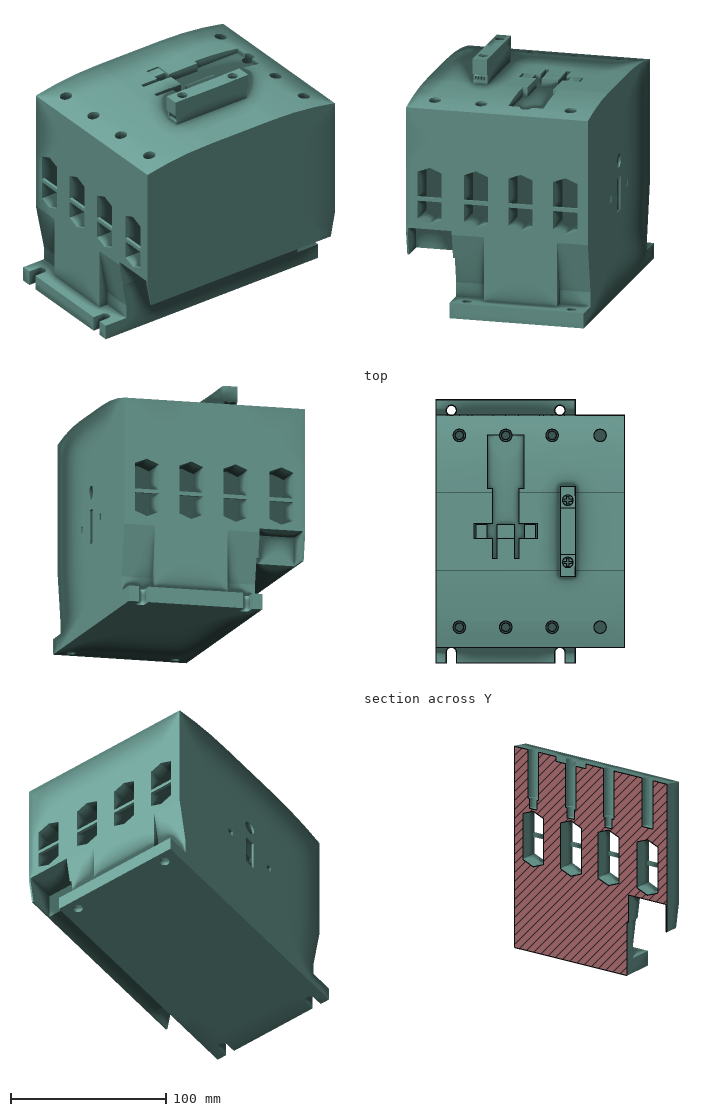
import cadquery as cq


BASE_WIDTH = 90.0
BASE_LENGTH = 170.0
BASE_HEIGHT = 10.2
MOUNT_SPACING_X = 70.0
MOUNT_Y = 78.0
MOUNT_DIAMETER = 6.5

BODY_WIDTH = 121.7
BODY_LENGTH = 150.0
BODY_HALF = BODY_LENGTH / 2
BODY_TOP = 141.6
SHOULDER_Z = 136.3
FLAT_HALF = 25.2

OVERHANG_BOTTOM = 36.7
OVERHANG_POCKET_TOP = 55.6
OVERHANG_WALL = 1.2
OVERHANG_POCKET_DEPTH = 20.4

TAPER_TOP = 53.0
TAPER_BOTTOM = 19.7
TAPER_INSET = 6.5
LEG_LEFT = 20.5
LEG_RIGHT = BASE_WIDTH - LEG_LEFT

POLE_FIRST_X = 15.1
POLE_PITCH = 30.0
MAIN_POLE_COUNT = 3
MAIN_POLE_XS = [POLE_FIRST_X + i * POLE_PITCH for i in range(MAIN_POLE_COUNT)]
FOURTH_POLE_X = 105.9
POLE_XS = MAIN_POLE_XS + [FOURTH_POLE_X]
ENTRY_WIDTH = 16.2
ENTRY_BOTTOM = 59.0
ENTRY_TOP = 96.9
ENTRY_POINT_HEIGHT = 3.2
ENTRY_DEPTH = 22.1
BAR_BOTTOM = 74.3
BAR_TOP = 76.8
BAR_THICKNESS = 1.9
SCREW_Y = 61.9
SCREW_BORE = 8.0
SCREW_BORE_BOTTOM = 105.4
SCREW_SHAFT = 5.5
SCREW_SHAFT_BOTTOM = 98.6

RECESS_FLOOR = 135.5
RECESS_CENTER_X = POLE_XS[1]
HEAD_WIDTH = 23.5
HEAD_END_Y = 62.2
HEAD_START_Y = 27.5
NECK_WIDTH = 17.2
CROSSBAR_WIDTH = 40.8
CROSSBAR_END_Y = 5.0
CROSSBAR_START_Y = -4.6
LEG_SLOT_START_Y = -17.5
TONGUE_WIDTH = 11.2
TONGUE_END_Y = 4.2
PAD_WIDTH = 7.1
PAD_OFFSET = 15.6
PAD_DROP = 0.3

BLOCK_RIGHT = BASE_WIDTH
BLOCK_WIDTH = 9.7
BLOCK_CENTER_X = BLOCK_RIGHT - BLOCK_WIDTH / 2
BLOCK_TOP = 158.8
BLOCK_STEP_Z = 148.4
BLOCK_LENGTH = 58.1
BLOCK_FOOT_LENGTH = 56.5
LABEL_LENGTH = 30.0
LABEL_DROP = 0.2
COIL_SCREW_Y = 20.0
COIL_SCREW_DIAMETER = 6.8
COIL_SCREW_DEPTH = 4.2
CROSS_LENGTH = 5.1
CROSS_WIDTH = 1.4
CROSS_DEPTH = 1.4
COIL_ENTRY_WIDTH = 8.0
COIL_ENTRY_SHIFT = 0.5
COIL_ENTRY_BOTTOM = 143.6
COIL_ENTRY_TOP = 148.2
COIL_ENTRY_DEPTH = 5.1
CLAMP_SETBACK = 1.7
CLAMP_FRONT_TOP = 146.7
CLAMP_SLOT_WIDTH = 1.2
CLAMP_SLOT_PITCH = 1.9
CLAMP_SLOT_COUNT = 4
CLAMP_SLOT_TOP = 146.4
CLAMP_SLOT_BOTTOM = 144.0

SIDE_DEPTH = 1.7
SLOT_STEP_DEPTH = 2.7
SIDE_CIRCLE_Z = 89.0
SIDE_CIRCLE_DIAMETER = 9.2
SIDE_SLOT_WIDTH = 8.0
SIDE_SLOT_BOTTOM = 55.2
SIDE_SLOT_TOP = 77.9
SLOT_STEP_WIDTH = 6.6
SLOT_STEP_BOTTOM = 60.0
SLOT_STEP_TOP = 64.8
LATCH_Y = 20.4
LATCH_Z = 68.8
LATCH_SIZE = 4.0


def box(x_start, x_end, y_start, y_end, z_start, z_end):
    """Axis-aligned box between the given limits."""
    return (
        cq.Workplane("XY", origin=(x_start, y_start, z_start))
        .box(x_end - x_start, y_end - y_start, z_end - z_start, centered=False)
    )


def centered_box(center_x, width, y_start, y_end, z_start, z_end):
    """Box that is symmetric about a given X."""
    return box(center_x - width / 2, center_x + width / 2, y_start, y_end, z_start, z_end)


def side_box(depth, center_y, width, z_start, z_end):
    """Box that reaches inward from the left side wall."""
    return box(0, depth, center_y - width / 2, center_y + width / 2, z_start, z_end)


def cylinder(x, y, diameter, z_start, z_end):
    """Upright cylinder."""
    return cq.Workplane("XY", origin=(x, y, z_start)).circle(diameter / 2).extrude(z_end - z_start)


def both_ends(shape):
    """The shape together with its mirror image across the middle plane."""
    return shape.union(shape.mirror("XZ"))


def base_plate():
    plate = box(0, BASE_WIDTH, -BASE_LENGTH / 2, BASE_LENGTH / 2, 0, BASE_HEIGHT)
    for side in (-1, 1):
        x = BASE_WIDTH / 2 + side * MOUNT_SPACING_X / 2
        for y in (-MOUNT_Y, MOUNT_Y):
            plate = plate.cut(cylinder(x, y, MOUNT_DIAMETER, 0, BASE_HEIGHT))
        slot = centered_box(x, MOUNT_DIAMETER, -BASE_LENGTH / 2, -MOUNT_Y, 0, BASE_HEIGHT)
        plate = plate.cut(slot)
    return plate


def arched_housing():
    """Housing whose top is flat in the middle and falls away in arcs tangent to the flat."""
    profile = (
        cq.Workplane("YZ")
        .moveTo(0, BODY_TOP)
        .lineTo(FLAT_HALF, BODY_TOP)
        .tangentArcPoint((BODY_HALF, SHOULDER_Z), relative=False)
        .lineTo(BODY_HALF, BASE_HEIGHT)
        .lineTo(0, BASE_HEIGHT)
        .close()
    )
    return both_ends(profile.extrude(BODY_WIDTH)).clean()


def corner_taper(x_start, x_end):
    """Material removed from the lower front corner between two X limits."""
    return (
        cq.Workplane("YZ", origin=(x_start, 0, 0))
        .moveTo(-BODY_HALF, TAPER_TOP)
        .lineTo(-BODY_HALF + TAPER_INSET, TAPER_BOTTOM)
        .lineTo(-BODY_HALF + TAPER_INSET, BASE_HEIGHT)
        .lineTo(-BODY_HALF, BASE_HEIGHT)
        .close()
        .extrude(x_end - x_start)
    )


def overhang_pocket():
    return box(
        BASE_WIDTH + OVERHANG_WALL, BODY_WIDTH - OVERHANG_WALL,
        -BODY_HALF, -BODY_HALF + OVERHANG_POCKET_DEPTH,
        OVERHANG_BOTTOM, OVERHANG_POCKET_TOP,
    )


def wire_entry(x):
    """Six-sided entry pocket in the front wall, crossed by a thin bar at its mouth."""
    half = ENTRY_WIDTH / 2
    pocket = (
        cq.Workplane("XZ", origin=(x, -BODY_HALF, 0))
        .moveTo(0, ENTRY_BOTTOM)
        .lineTo(half, ENTRY_BOTTOM + ENTRY_POINT_HEIGHT)
        .lineTo(half, ENTRY_TOP - ENTRY_POINT_HEIGHT)
        .lineTo(0, ENTRY_TOP)
        .lineTo(-half, ENTRY_TOP - ENTRY_POINT_HEIGHT)
        .lineTo(-half, ENTRY_BOTTOM + ENTRY_POINT_HEIGHT)
        .close()
        .extrude(-ENTRY_DEPTH)
    )
    bar = centered_box(x, ENTRY_WIDTH, -BODY_HALF, -BODY_HALF + BAR_THICKNESS, BAR_BOTTOM, BAR_TOP)
    return pocket.cut(bar)


def top_recess():
    """Stepped recess: wide head, neck, crossbar and two narrow leg slots.

    A tongue and two pads stand in it; inside the crossbar they stop just below the top face.
    """
    x = RECESS_CENTER_X
    z_limits = (RECESS_FLOOR, BODY_TOP)
    recess = (
        centered_box(x, HEAD_WIDTH, HEAD_START_Y, HEAD_END_Y, *z_limits)
        .union(centered_box(x, NECK_WIDTH, LEG_SLOT_START_Y, HEAD_START_Y, *z_limits))
        .union(centered_box(x, CROSSBAR_WIDTH, CROSSBAR_START_Y, CROSSBAR_END_Y, *z_limits))
    )
    standing = centered_box(x, TONGUE_WIDTH, LEG_SLOT_START_Y, CROSSBAR_START_Y, *z_limits)
    low_limits = (CROSSBAR_START_Y, TONGUE_END_Y, RECESS_FLOOR, BODY_TOP - PAD_DROP)
    standing = standing.union(centered_box(x, TONGUE_WIDTH, *low_limits))
    for side in (-1, 1):
        standing = standing.union(centered_box(x + side * PAD_OFFSET, PAD_WIDTH, *low_limits))
    return recess.cut(standing)


def side_marks():
    circle = cq.Workplane("YZ", origin=(0, 0, SIDE_CIRCLE_Z)).circle(SIDE_CIRCLE_DIAMETER / 2)
    marks = circle.extrude(SIDE_DEPTH)
    marks = marks.union(side_box(SIDE_DEPTH, 0, SIDE_SLOT_WIDTH, SIDE_SLOT_BOTTOM, SIDE_SLOT_TOP))
    marks = marks.union(side_box(SLOT_STEP_DEPTH, 0, SLOT_STEP_WIDTH, SLOT_STEP_BOTTOM, SLOT_STEP_TOP))
    latch_limits = (LATCH_Z - LATCH_SIZE / 2, LATCH_Z + LATCH_SIZE / 2)
    for y in (-LATCH_Y, LATCH_Y):
        marks = marks.union(side_box(SIDE_DEPTH, y, LATCH_SIZE, *latch_limits))
    return marks


def coil_screw_recess():
    """Round recess whose floor carries a cross drive."""
    floor = BLOCK_TOP - COIL_SCREW_DEPTH
    recess = cylinder(BLOCK_CENTER_X, -COIL_SCREW_Y, COIL_SCREW_DIAMETER, floor, BLOCK_TOP)
    for size_x, size_y in ((CROSS_LENGTH, CROSS_WIDTH), (CROSS_WIDTH, CROSS_LENGTH)):
        cross_bar = centered_box(
            BLOCK_CENTER_X, size_x,
            -COIL_SCREW_Y - size_y / 2, -COIL_SCREW_Y + size_y / 2,
            floor - CROSS_DEPTH, floor,
        )
        recess = recess.union(cross_bar)
    return recess


def coil_wire_entry():
    """Opening in the foot of the terminal block, with a sloped, slotted clamp standing inside."""
    mouth_y = -BLOCK_FOOT_LENGTH / 2
    back_y = mouth_y + COIL_ENTRY_DEPTH
    clamp_y = mouth_y + CLAMP_SETBACK
    center_x = BLOCK_CENTER_X + COIL_ENTRY_SHIFT
    opening = centered_box(
        center_x, COIL_ENTRY_WIDTH, mouth_y, back_y, COIL_ENTRY_BOTTOM, COIL_ENTRY_TOP
    )
    clamp = (
        cq.Workplane("YZ", origin=(center_x, 0, 0))
        .moveTo(clamp_y, COIL_ENTRY_BOTTOM)
        .lineTo(clamp_y, CLAMP_FRONT_TOP)
        .lineTo(back_y, COIL_ENTRY_TOP)
        .lineTo(back_y, COIL_ENTRY_BOTTOM)
        .close()
        .extrude(COIL_ENTRY_WIDTH / 2, both=True)
    )
    for i in range(CLAMP_SLOT_COUNT):
        slot_x = center_x + (i - (CLAMP_SLOT_COUNT - 1) / 2) * CLAMP_SLOT_PITCH
        clamp = clamp.cut(
            centered_box(slot_x, CLAMP_SLOT_WIDTH, clamp_y, back_y, CLAMP_SLOT_BOTTOM, CLAMP_SLOT_TOP)
        )
    return opening.cut(clamp)


def terminal_block():
    """Block with an overhanging head, a shallow label field on top and a terminal at each end."""
    foot_half = BLOCK_FOOT_LENGTH / 2
    head_half = BLOCK_LENGTH / 2
    foot = centered_box(BLOCK_CENTER_X, BLOCK_WIDTH, -foot_half, foot_half, SHOULDER_Z, BLOCK_STEP_Z)
    head = centered_box(BLOCK_CENTER_X, BLOCK_WIDTH, -head_half, head_half, BLOCK_STEP_Z, BLOCK_TOP)
    label = centered_box(
        BLOCK_CENTER_X, BLOCK_WIDTH, -LABEL_LENGTH / 2, LABEL_LENGTH / 2, BLOCK_TOP - LABEL_DROP, BLOCK_TOP
    )
    openings = coil_screw_recess().union(coil_wire_entry())
    return foot.union(head).cut(label).cut(both_ends(openings))


body = arched_housing()
body = body.cut(both_ends(corner_taper(0, LEG_LEFT)))
body = body.cut(both_ends(corner_taper(LEG_RIGHT, BODY_WIDTH)))
body = body.cut(box(BASE_WIDTH, BODY_WIDTH, -BODY_HALF, BODY_HALF, BASE_HEIGHT, OVERHANG_BOTTOM))
body = body.cut(both_ends(overhang_pocket()))
body = body.cut(top_recess())
body = body.cut(side_marks())

for pole_x in POLE_XS:
    body = body.cut(both_ends(wire_entry(pole_x)))
    body = body.cut(both_ends(cylinder(pole_x, -SCREW_Y, SCREW_BORE, SCREW_BORE_BOTTOM, BODY_TOP)))
for pole_x in MAIN_POLE_XS:
    shaft = cylinder(pole_x, -SCREW_Y, SCREW_SHAFT, SCREW_SHAFT_BOTTOM, SCREW_BORE_BOTTOM)
    body = body.cut(both_ends(shaft))

result = base_plate().union(body).union(terminal_block())